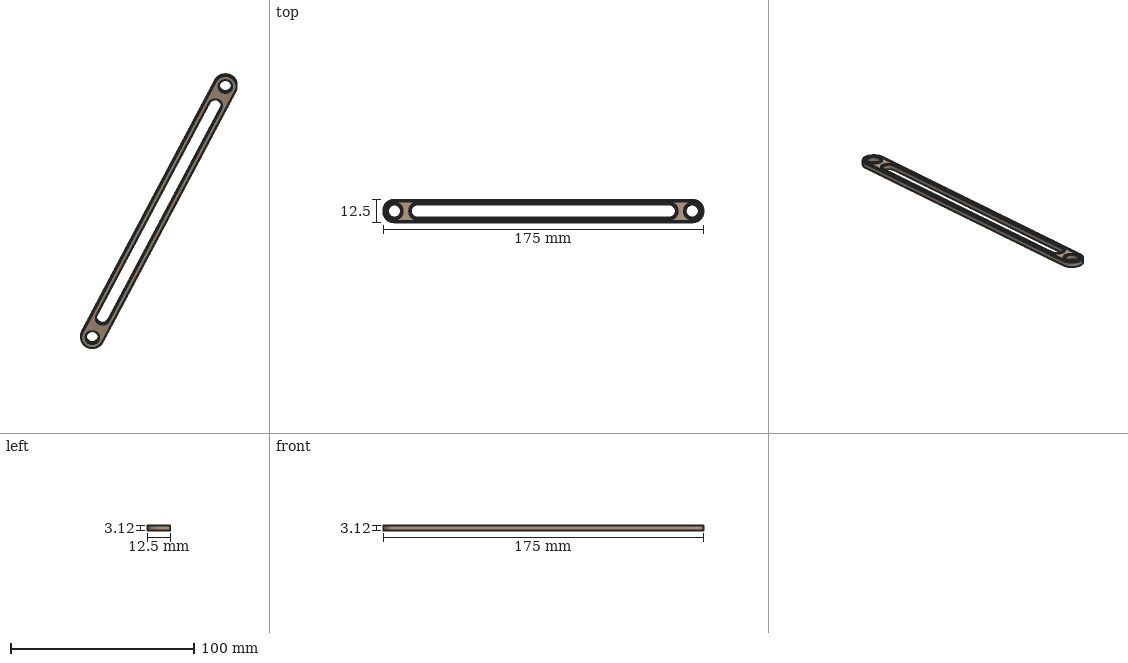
import cadquery as cq

length = 175.0
width = 12.5
thickness = 3.12
bore_diameter = 7.0
rim_diameter = 9.2
edge_chamfer = 0.3
recess_depth = 0.2

hole_spacing = length - width
slot_arc_spacing = hole_spacing - 2 * width
rim_land = (rim_diameter - bore_diameter) / 2 - edge_chamfer
border_width = edge_chamfer + rim_land


def rounded_bar(arc_spacing, bar_width, height):
    """Round-ended bar on Z = 0, with its end arc centres arc_spacing apart."""
    return cq.Workplane("XY").slot2D(arc_spacing + bar_width, bar_width).extrude(height)


def openings(opening_width, height):
    """Both end holes and the long slot, as solids of one common width on Z = 0."""
    holes = (
        cq.Workplane("XY")
        .pushPoints([(-hole_spacing / 2, 0), (hole_spacing / 2, 0)])
        .circle(opening_width / 2)
        .extrude(height)
    )
    return holes.union(rounded_bar(slot_arc_spacing, opening_width, height))


def recess():
    """Sunken floor between the border and the rims around the openings."""
    inside_border = rounded_bar(hole_spacing, width - 2 * border_width, recess_depth)
    floor = inside_border.cut(openings(rim_diameter, recess_depth))
    return floor.translate((0, 0, thickness - recess_depth))


link = rounded_bar(hole_spacing, width, thickness).cut(openings(bore_diameter, thickness))
link = link.faces("<Z or >Z").edges().chamfer(edge_chamfer)
result = link.cut(recess())